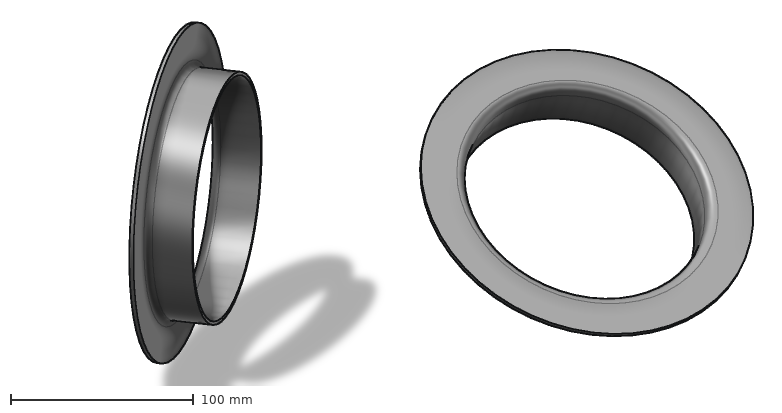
import cadquery as cq
import math

flange_diameter = 188.0
flange_thickness = 2.5
collar_length = 29.0
bore_diameter = 135.7
collar_diameter = 139.7

inner_bend_radius = 6.0
outer_bend_radius = 3.8

flange_radius = flange_diameter / 2
bore_radius = bore_diameter / 2
collar_radius = collar_diameter / 2


def bend_middle(center_x, center_distance, radius):
    """Point halfway along a quarter-round bend, given its centre along and from the X axis."""
    offset = radius * math.sqrt(0.5)
    return (center_x - offset, center_distance - offset)


def flanged_collar():
    """Wall section, with the flange's front face at X = 0, revolved about the X axis."""
    inner_x = inner_bend_radius
    inner_distance = bore_radius + inner_bend_radius
    outer_x = flange_thickness + outer_bend_radius
    outer_distance = collar_radius + outer_bend_radius

    section = (
        cq.Workplane("XY")
        .moveTo(0, flange_radius)
        .lineTo(0, inner_distance)
        .threePointArc(bend_middle(inner_x, inner_distance, inner_bend_radius), (inner_x, bore_radius))
        .lineTo(collar_length, bore_radius)
        .lineTo(collar_length, collar_radius)
        .lineTo(outer_x, collar_radius)
        .threePointArc(
            bend_middle(outer_x, outer_distance, outer_bend_radius),
            (flange_thickness, outer_distance),
        )
        .lineTo(flange_thickness, flange_radius)
        .close()
    )
    return section.revolve(360, (0, 0, 0), (1, 0, 0))


result = flanged_collar()